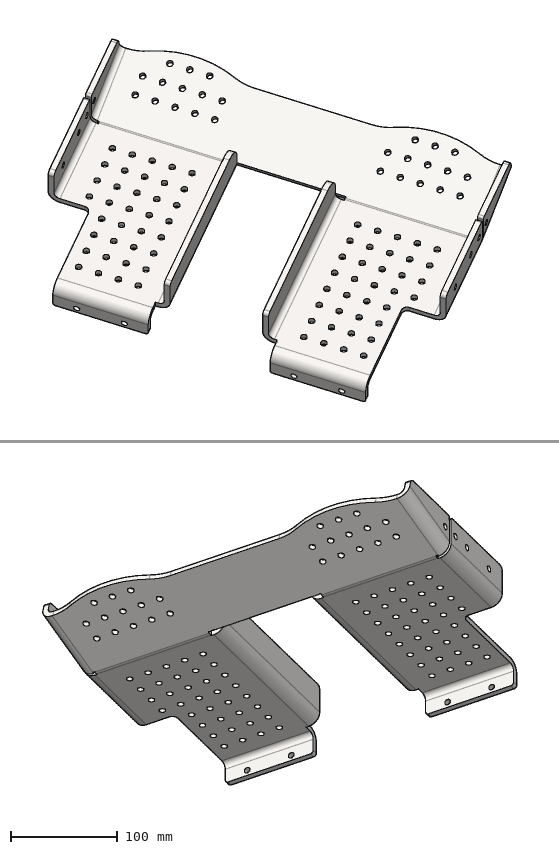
import cadquery as cq
import math


thickness = 6.0
bend_outer = 12.0
bend_inner = bend_outer - thickness
half_width = 200.0
flange_top = 42.0
hole_dia = 6.0

leg_inner = 61.0
leg_width = 96.0
leg_outer = leg_inner + leg_width
leg_middle = leg_inner + leg_width / 2
sheet_edge = half_width - bend_outer
outer_flange_front = -95.0
leg_corner_radius = 6.0

inner_flange_face = 46.5
inner_flange_front = -175.0
inner_flange_front_radius = 4.0
inner_flange_back_radius = 20.0

flange_gap_front = -1.0
flange_gap_back = 2.0
flange_gap_inner_end = 186.0
outer_flange_front_radius = 5.0
outer_flange_back_radius = 3.0
flange_hole_height = 25.0
tread_flange_holes = [-9.0, -30.5, -71.0]
back_flange_hole = 9.5

tab_face = -194.0
tab_bottom = -21.5
tab_bend_start = tab_face + bend_outer
tab_corner_radius = 3.0
tab_hole_spacing = 48.0
tab_hole_height = -15.5

fold_angle = 15.0
fold_axis_height = bend_outer
back_length = 77.5
back_middle_start = 1.5
bump_height = 12.5
bump_half_span = 64.0
bump_crest_radius = 116.0
back_flange_rear_radius = 5.0
back_flange_front_radius = 2.5

grip_pitch = 20.0
grip_middle = 123.0
grip_columns = [grip_middle + i * grip_pitch for i in range(-2, 3)]
tread_first_row = -23.0
tread_rows = [tread_first_row - i * grip_pitch for i in range(8)]
wide_row_count = 4
back_first_row = 36.0
back_rows = [back_first_row + i * grip_pitch for i in range(3)]

over = 4.0
diagonal = math.sqrt(0.5)
tall = 2 * flange_top


def both_sides(body):
    """Join a right-hand body with its mirror image across X = 0."""
    return body.union(body.mirror("YZ"))


def angle_strip(face_x, outward, top, y_start, y_end):
    """Upright flange with its bend; face_x is the outer face, outward is +1 or -1 along X."""
    bend_x = face_x - outward * bend_outer
    inside_x = face_x - outward * thickness
    profile = (
        cq.Workplane("XZ", origin=(0, y_end, 0))
        .moveTo(bend_x, 0)
        .threePointArc(
            (bend_x + outward * bend_outer * diagonal, bend_outer * (1 - diagonal)),
            (face_x, bend_outer),
        )
        .lineTo(face_x, top)
        .lineTo(inside_x, top)
        .lineTo(inside_x, bend_outer)
        .threePointArc(
            (bend_x + outward * bend_inner * diagonal, bend_outer - bend_inner * diagonal),
            (bend_x, thickness),
        )
        .close()
    )
    return profile.extrude(y_end - y_start)


def round_top_corners(flange, front_radius, back_radius):
    """Round the two ends of a flange's top edge."""
    flange = flange.faces(">Z").edges("|X").edges("<Y").fillet(front_radius)
    return flange.faces(">Z").edges("|X").edges(">Y").fillet(back_radius)


def cross_holes(y_places):
    """Cutter for holes through the upright outer flange."""
    points = [(y, flange_hole_height) for y in y_places]
    return (
        cq.Workplane("YZ", origin=(sheet_edge, 0, 0))
        .pushPoints(points)
        .circle(hole_dia / 2)
        .extrude(bend_outer + over)
    )


def grip_holes(points):
    """Cutter for vertical holes through the flat sheet."""
    return (
        cq.Workplane("XY", origin=(0, 0, -over))
        .pushPoints(points)
        .circle(hole_dia / 2)
        .extrude(thickness + 2 * over)
    )


def tilt(body):
    """Swing a flat-laid body up about the fold axis."""
    return body.rotate((0, 0, fold_axis_height), (1, 0, fold_axis_height), fold_angle)


def tread():
    """Flat tread with its stepped outline and grip holes."""
    inner_bend_line = inner_flange_face + bend_outer
    sheet = (
        cq.Workplane("XY")
        .moveTo(leg_inner, 0)
        .lineTo(flange_gap_inner_end, 0)
        .lineTo(flange_gap_inner_end, flange_gap_front)
        .lineTo(sheet_edge, flange_gap_front)
        .lineTo(sheet_edge, outer_flange_front)
        .lineTo(leg_outer, outer_flange_front)
        .lineTo(leg_outer, tab_bend_start)
        .lineTo(leg_inner, tab_bend_start)
        .lineTo(leg_inner, inner_flange_front)
        .lineTo(inner_bend_line, inner_flange_front)
        .lineTo(inner_bend_line, flange_gap_front)
        .lineTo(leg_inner, flange_gap_front)
        .close()
        .extrude(thickness)
    )
    step_corner = cq.selectors.NearestToPointSelector((leg_outer, outer_flange_front, thickness / 2))
    sheet = sheet.edges("|Z").edges(step_corner).fillet(leg_corner_radius)
    points = []
    for index, y in enumerate(tread_rows):
        columns = grip_columns if index < wide_row_count else grip_columns[:-1]
        points += [(x, y) for x in columns]
    return sheet.cut(grip_holes(points))


def tread_flanges():
    """Inner and outer upright flanges of one tread."""
    outer = angle_strip(half_width, 1, flange_top, outer_flange_front, flange_gap_front)
    outer = round_top_corners(outer, outer_flange_front_radius, outer_flange_back_radius)
    outer = outer.cut(cross_holes(tread_flange_holes))
    inner = angle_strip(inner_flange_face, -1, flange_top, inner_flange_front, flange_gap_front)
    inner = round_top_corners(inner, inner_flange_front_radius, inner_flange_back_radius)
    return outer.union(inner)


def tab():
    """Tab bent down at the front of one leg, with two mounting holes."""
    bend_z = thickness - bend_outer
    body = (
        cq.Workplane("YZ", origin=(leg_inner, 0, 0))
        .moveTo(tab_bend_start, thickness)
        .threePointArc(
            (tab_bend_start - bend_outer * diagonal, bend_z + bend_outer * diagonal),
            (tab_face, bend_z),
        )
        .lineTo(tab_face, tab_bottom)
        .lineTo(tab_face + thickness, tab_bottom)
        .lineTo(tab_face + thickness, bend_z)
        .threePointArc(
            (tab_bend_start - bend_inner * diagonal, bend_z + bend_inner * diagonal),
            (tab_bend_start, 0),
        )
        .close()
        .extrude(leg_width)
    )
    body = body.faces("<Z").edges("|Y").fillet(tab_corner_radius)
    points = [(leg_middle + side * tab_hole_spacing / 2, tab_hole_height) for side in (-1, 1)]
    holes = (
        cq.Workplane("XZ", origin=(0, tab_bend_start, 0))
        .pushPoints(points)
        .circle(hole_dia / 2)
        .extrude(bend_outer + over)
    )
    return body.cut(holes)


def fold():
    """Bend that joins one tread to the back panel."""
    return (
        cq.Workplane("XZ")
        .moveTo(leg_inner, 0)
        .lineTo(flange_gap_inner_end, 0)
        .lineTo(flange_gap_inner_end, thickness)
        .lineTo(leg_inner, thickness)
        .close()
        .revolve(fold_angle, (0, fold_axis_height, 0), (1, fold_axis_height, 0))
    )


def back_panel():
    """Right half of the tilted panel; its rear edge swells in a crest with tangent arcs at its feet."""
    slope = 2 * math.atan(bump_height / bump_half_span)
    foot_radius = bump_half_span / math.sin(slope) - bump_crest_radius
    crest_y = back_length + bump_height
    join_dx = bump_crest_radius * math.sin(slope)
    join_y = crest_y - bump_crest_radius * (1 - math.cos(slope))
    foot_mid_dx = bump_half_span - foot_radius * math.sin(slope / 2)
    foot_mid_y = back_length + foot_radius * (1 - math.cos(slope / 2))
    sheet = (
        cq.Workplane("XY")
        .moveTo(0, back_middle_start)
        .lineTo(leg_inner, back_middle_start)
        .lineTo(leg_inner, 0)
        .lineTo(sheet_edge, 0)
        .lineTo(sheet_edge, back_length)
        .lineTo(grip_middle + bump_half_span, back_length)
        .threePointArc((grip_middle + foot_mid_dx, foot_mid_y), (grip_middle + join_dx, join_y))
        .threePointArc((grip_middle, crest_y), (grip_middle - join_dx, join_y))
        .threePointArc((grip_middle - foot_mid_dx, foot_mid_y), (grip_middle - bump_half_span, back_length))
        .lineTo(0, back_length)
        .close()
        .extrude(thickness)
    )
    points = [(x, y) for y in back_rows[:-1] for x in grip_columns]
    points += [(x, back_rows[-1]) for x in grip_columns[1:-1]]
    return tilt(sheet.cut(grip_holes(points)))


def back_flange():
    """Upright flange beside the back panel, trimmed level with the tread flanges."""
    flange = tilt(angle_strip(half_width, 1, tall, -bend_outer, back_length))
    keep = cq.Workplane("XY").box(half_width, tall, tall, centered=False)
    keep = keep.translate((over, flange_gap_back, flange_top - tall))
    flange = flange.intersect(keep)
    flange = round_top_corners(flange, back_flange_front_radius, back_flange_rear_radius)
    return flange.cut(cross_holes([back_flange_hole]))


half_part = tread()
for piece in (tread_flanges(), tab(), fold(), back_panel(), back_flange()):
    half_part = half_part.union(piece)

result = both_sides(half_part)